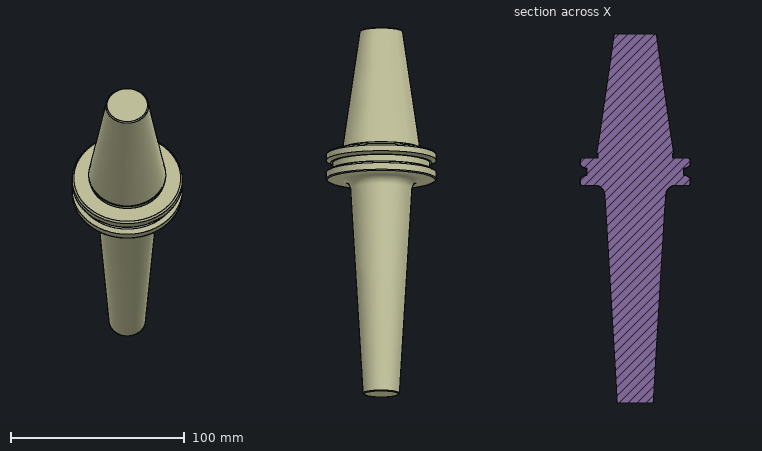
import cadquery as cq
import math

taper_length = 68.25
overall_length = 212.5
top_z = taper_length
tip_z = top_z - overall_length

gauge_diameter = 44.45
gauge_radius = gauge_diameter / 2
taper_ratio = 7 / 24
shank_top_radius = gauge_radius - taper_length * taper_ratio / 2
shank_top_chamfer = 0.6

collar_bottom_z = -0.6
neck_radius = 21.7

flange_diameter = 63.5
flange_radius = flange_diameter / 2
flange_top_z = -3.18
flange_bottom_z = -19.05
flange_top_chamfer = 1.0
flange_bottom_chamfer = 0.6
groove_center_z = -11.1
groove_root_radius = 28.0
groove_wall_angle = 30
groove_wall_depth = 2.6
groove_half_mouth = 3.5
groove_wall_end_radius = flange_radius - groove_wall_depth
groove_half_root = groove_half_mouth - groove_wall_depth * math.tan(math.radians(groove_wall_angle))

nose_half_angle = 3.43
nose_tip_radius = 10.5
nose_tip_chamfer = 0.5
nose_fillet_radius = 5.5
nose_length = flange_bottom_z - tip_z
nose_root_radius = nose_tip_radius + nose_length * math.tan(math.radians(nose_half_angle))


def revolve_profile(points):
    """Revolve a closed (radius, z) outline around the Z axis."""
    return cq.Workplane("XZ").polyline(points).close().revolve(360, (0, 0, 0), (0, 1, 0))


def make_shank():
    shank = revolve_profile(
        [
            (0, flange_top_z),
            (neck_radius, flange_top_z),
            (neck_radius, collar_bottom_z),
            (gauge_radius, collar_bottom_z),
            (gauge_radius, 0),
            (shank_top_radius, top_z),
            (0, top_z),
        ]
    )
    return shank.faces(">Z").edges().chamfer(shank_top_chamfer)


def make_flange():
    flange_height = flange_top_z - flange_bottom_z
    flange = cq.Workplane("XY", origin=(0, 0, flange_bottom_z)).circle(flange_radius).extrude(flange_height)
    flange = flange.faces(">Z").edges().chamfer(flange_top_chamfer)
    flange = flange.faces("<Z").edges().chamfer(flange_bottom_chamfer)
    groove = revolve_profile(
        [
            (groove_root_radius, groove_center_z - groove_half_root),
            (groove_wall_end_radius, groove_center_z - groove_half_root),
            (flange_radius, groove_center_z - groove_half_mouth),
            (flange_radius, groove_center_z + groove_half_mouth),
            (groove_wall_end_radius, groove_center_z + groove_half_root),
            (groove_root_radius, groove_center_z + groove_half_root),
        ]
    )
    return flange.cut(groove)


def make_nose():
    nose = revolve_profile(
        [
            (0, tip_z),
            (nose_tip_radius, tip_z),
            (nose_root_radius, flange_bottom_z),
            (0, flange_bottom_z),
        ]
    )
    return nose.faces("<Z").edges().chamfer(nose_tip_chamfer)


def fillet_nose_root(body):
    """Round the inside corner where the nose meets the flange."""
    margin = 0.5
    reach = nose_root_radius + margin
    corner_box = cq.selectors.BoxSelector(
        (-reach, -reach, flange_bottom_z - margin),
        (reach, reach, flange_bottom_z + margin),
        boundingbox=True,
    )
    return body.edges(corner_box).fillet(nose_fillet_radius)


holder = make_flange().union(make_shank()).union(make_nose())
result = fillet_nose_root(holder)